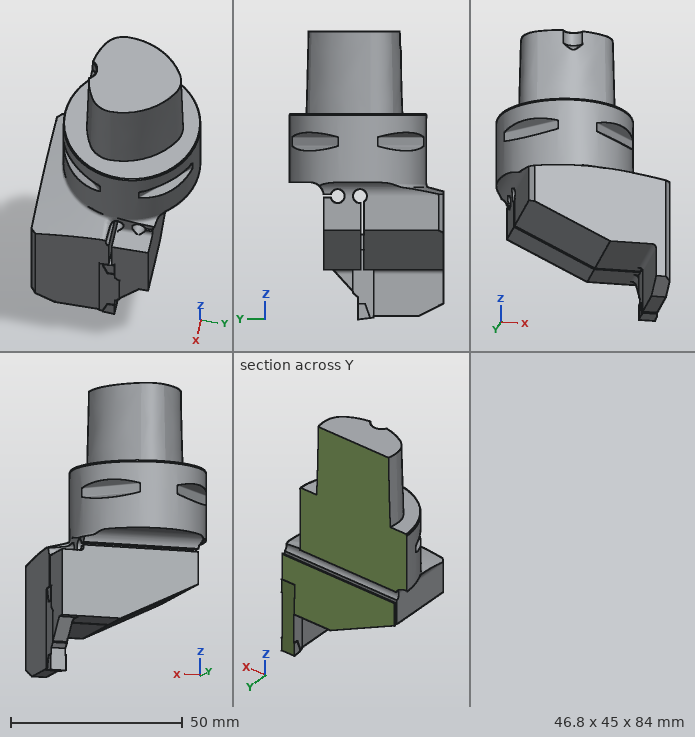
import cadquery as cq
import math


flange_radius = 20.0
flange_height = 20.0
flange_chamfer_height = 0.5
flange_chamfer_width = 0.25

groove_count = 4
groove_first_angle = 45.0
groove_center_z = -8.13
groove_floor_radius = 17.6
groove_floor_width = 2.6
groove_side_angle = 30.0
groove_floor_fillet = 0.4

shank_length = 24.0
shank_width = 28.1
lobe_reach = 15.05
shank_taper = math.degrees(math.atan(1 / 40))
lobe_angles = (90.0, 210.0, 330.0)
lobe_half_arc = 30.0
flank_half_arc = 30.0
flank_center_offset = 240.0

notch_radius = 3.2
notch_center_y = -13.8
notch_depth = 4.1
notch_mouth_chamfer = 0.25

body_left = -15.25
body_right = 26.6
body_front = -25.0
body_back = 10.0
body_bottom = -45.5
body_left_bottom = -34.0
slope_end_x = 8.6
front_chamfer = 1.5
shoulder_fillet = 4.0
shoulder_slab = 4.0

cone_angle = 15.0
collar_bottom = -20.5
collar_fillet = 1.0
cone_reach = 45.0

blade_left = 22.25
blade_bottom = -59.0
blade_corner_y = -17.7
blade_front_bottom = -55.3
blade_fillet = 1.3
jaw_root_y = 7.2
jaw_tip_z = -51.8

hinge_hole_radius = 2.0
hinge_z = -24.0
inner_hole_y = -0.6
outer_hole_y = 5.9
slit_width = 0.9
clamp_slit_y = -1.3
outer_slit_z = -23.95

pocket_wall_x = flange_radius
pocket_floor_z = hinge_z - hinge_hole_radius
pocket_side_y = -1.95
pocket_round = 2.15
pocket_wall_fillet = 1.0

tip_z = -60.0
insert_length = 25.0
insert_mid_z = tip_z + insert_length / 2
insert_bottom_y = -4.55
insert_top_y = 1.46
relief_angle = 7.0
rake_length = 6.5
rake_step_length = 1.3
head_width = 4.8
head_length = 4.6
head_foot_y = -3.4
head_shoulder_y = -2.1
head_foot_length = 1.0

overlap = 5.0
pick_margin = 0.1


def lobe_outline(plane_z):
    """Rounded triangle made of small lobe arcs and large flank arcs, all tangent."""
    corner_distance = (2 * lobe_reach - shank_width) / (2 - math.sqrt(3))
    lobe_radius = lobe_reach - corner_distance
    flank_radius = shank_width - lobe_radius

    def on_arc(center_angle, radius, normal_angle):
        center = math.radians(center_angle)
        normal = math.radians(normal_angle)
        x = corner_distance * math.cos(center) + radius * math.cos(normal)
        y = corner_distance * math.sin(center) + radius * math.sin(normal)
        return (x, y)

    start = on_arc(lobe_angles[0], lobe_radius, lobe_angles[0] - lobe_half_arc)
    outline = cq.Workplane("XY", origin=(0, 0, plane_z)).moveTo(*start)
    for angle in lobe_angles:
        flank_start = angle + lobe_half_arc
        lobe_tip = on_arc(angle, lobe_radius, angle)
        lobe_end = on_arc(angle, lobe_radius, flank_start)
        opposite = angle + flank_center_offset
        flank_middle = on_arc(opposite, flank_radius, flank_start + flank_half_arc)
        flank_end = on_arc(opposite, flank_radius, flank_start + 2 * flank_half_arc)
        outline = outline.threePointArc(lobe_tip, lobe_end)
        outline = outline.threePointArc(flank_middle, flank_end)
    return outline.close()


def make_shank():
    shank = lobe_outline(0).extrude(shank_length, taper=shank_taper)
    root = lobe_outline(-overlap).extrude(overlap)
    mouth_radius = notch_radius + notch_mouth_chamfer
    drill = (
        cq.Workplane("XZ", origin=(0, notch_center_y, shank_length))
        .polyline([
            (0, 0),
            (mouth_radius, 0),
            (notch_radius, -notch_mouth_chamfer),
            (notch_radius, -notch_depth),
            (0, -notch_depth - notch_radius),
        ])
        .close()
        .revolve(360, (0, 0), (0, 1))
    )
    return shank.cut(drill).union(root)


def make_flange():
    rim_radius = flange_radius - flange_chamfer_width
    flange = (
        cq.Workplane("XZ")
        .polyline([
            (0, 0),
            (rim_radius, 0),
            (flange_radius, -flange_chamfer_height),
            (flange_radius, -flange_height),
            (0, -flange_height),
        ])
        .close()
        .revolve(360, (0, 0), (0, 1))
    )
    outer = flange_radius + overlap
    floor_half = groove_floor_width / 2
    mouth_half = floor_half + (outer - groove_floor_radius) * math.tan(math.radians(groove_side_angle))
    groove = (
        cq.Workplane("XZ", origin=(0, 0, groove_center_z))
        .polyline([
            (groove_floor_radius, -floor_half),
            (outer, -mouth_half),
            (outer, mouth_half),
            (groove_floor_radius, floor_half),
        ])
        .close()
        .extrude(flange_radius, both=True)
        .edges("|Y and <X")
        .fillet(groove_floor_fillet)
    )
    for index in range(groove_count):
        angle = groove_first_angle + index * 360 / groove_count
        flange = flange.cut(groove.rotate((0, 0, 0), (0, 0, 1), angle))
    return flange


def cone_envelope():
    """Space below the flange rim and the filleted conical shoulder."""
    slope = math.radians(cone_angle)
    slab_top_z = -flange_height + shoulder_slab
    tangent_radius = flange_radius + collar_fillet * (1 - math.sin(slope))
    tangent_z = collar_bottom - collar_fillet * math.cos(slope)
    half_turn = (math.pi / 2 - slope) / 2
    fillet_middle = (
        flange_radius + collar_fillet * (1 - math.cos(half_turn)),
        collar_bottom - collar_fillet * math.sin(half_turn),
    )
    cone_edge_z = tangent_z - (cone_reach - tangent_radius) * math.tan(slope)
    return (
        cq.Workplane("XZ")
        .moveTo(0, slab_top_z)
        .lineTo(flange_radius, slab_top_z)
        .lineTo(flange_radius, collar_bottom)
        .threePointArc(fillet_middle, (tangent_radius, tangent_z))
        .lineTo(cone_reach, cone_edge_z)
        .lineTo(cone_reach, tip_z - overlap)
        .lineTo(0, tip_z - overlap)
        .close()
        .revolve(360, (0, 0), (0, 1))
    )


def relief_pocket():
    """Open step beside the flange, down to the top of the clamp jaw, with rounded floor edges."""
    top_z = -flange_height / 2
    pocket = cq.Workplane("XY").box(
        body_right + overlap - pocket_wall_x,
        flange_radius - pocket_side_y,
        top_z - pocket_floor_z,
        centered=False,
    ).translate((pocket_wall_x, pocket_side_y, pocket_floor_z))
    pocket = pocket.edges("<Y and <Z").fillet(pocket_round)
    return pocket.edges("|Y and <X and <Z").fillet(pocket_wall_fillet)


def make_body():
    front_profile = (
        cq.Workplane("XZ", origin=(0, body_back, 0))
        .polyline([
            (body_left, -flange_height),
            (body_left, body_left_bottom),
            (slope_end_x, body_bottom),
            (blade_left, body_bottom),
            (blade_left, blade_bottom),
            (body_right, blade_bottom),
            (body_right, -flange_height),
        ])
        .close()
        .extrude(body_back - body_front)
    )
    block = front_profile.edges(
        cq.selectors.NearestToPointSelector((blade_left, body_front / 2, body_bottom))
    ).fillet(blade_fillet)
    for corner_x in (body_left, body_right):
        corner = cq.selectors.NearestToPointSelector((corner_x, body_front, body_left_bottom))
        block = block.edges("|Z").edges(corner).chamfer(front_chamfer)

    blade_end = (
        cq.Workplane("YZ", origin=(body_left, 0, 0))
        .polyline([
            (body_front, -flange_height),
            (body_front, blade_front_bottom),
            (blade_corner_y, blade_bottom),
            (insert_bottom_y, blade_bottom),
            (insert_bottom_y, jaw_tip_z),
            (insert_top_y, jaw_tip_z),
            (jaw_root_y, body_bottom),
            (body_back, body_bottom),
            (body_back, -flange_height),
        ])
        .close()
        .extrude(body_right - body_left)
    )
    block = block.intersect(blade_end)

    slab_left = -flange_radius
    slab = cq.Workplane("XY").box(
        body_right - slab_left, flange_radius - body_front, shoulder_slab, centered=False
    ).translate((slab_left, body_front, -flange_height))
    body = block.union(slab)
    inner_edges = cq.selectors.BoxSelector(
        (body_left - pick_margin, body_front + front_chamfer, -flange_height - pick_margin),
        (body_right - pick_margin, body_back + pick_margin, -flange_height + pick_margin),
    )
    body = body.edges(inner_edges).fillet(shoulder_fillet)
    body = body.intersect(cone_envelope()).cut(relief_pocket())
    rim_middle = ((pocket_wall_x + body_right) / 2, pocket_side_y, pocket_floor_z + 2 * pocket_round)
    rim = cq.selectors.NearestToPointSelector(rim_middle)
    return body.edges(rim).fillet(pocket_round)


def clamp_slits():
    """Two hinge holes along X with the slits that free the upper jaw."""
    length = body_right - body_left + 2 * overlap
    start_x = body_left - overlap
    holes = (
        cq.Workplane("YZ", origin=(start_x, 0, 0))
        .pushPoints([(inner_hole_y, hinge_z), (outer_hole_y, hinge_z)])
        .circle(hinge_hole_radius)
        .extrude(length)
    )
    jaw_slit = cq.Workplane("XY").box(
        length, slit_width, hinge_z - body_bottom, centered=(False, True, False)
    ).translate((start_x, clamp_slit_y, body_bottom))
    back_slit = cq.Workplane("XY").box(
        length, body_back - outer_hole_y + overlap, slit_width, centered=(False, False, True)
    ).translate((start_x, outer_hole_y, outer_slit_z))
    return holes.union(jaw_slit).union(back_slit)


def make_insert():
    """Grooving insert, mirrored about its middle, with a wide cutting head at each end."""
    relief_rise = math.tan(math.radians(relief_angle))
    blade_middle_x = (blade_left + body_right) / 2
    shank_start_z = tip_z - insert_bottom_y * relief_rise
    outer_half = (
        cq.Workplane("YZ", origin=(blade_left, 0, 0))
        .polyline([
            (0, tip_z),
            (0, tip_z + rake_length),
            (insert_top_y, tip_z + rake_length + rake_step_length),
            (insert_top_y, insert_mid_z),
            (insert_bottom_y, insert_mid_z),
            (insert_bottom_y, shank_start_z),
        ])
        .close()
        .extrude(body_right - blade_left)
    )
    head = (
        cq.Workplane("YZ", origin=(blade_middle_x - head_width / 2, 0, 0))
        .polyline([
            (0, tip_z),
            (0, tip_z + head_length),
            (head_shoulder_y, tip_z + head_length),
            (head_foot_y, tip_z + head_foot_length),
            (head_foot_y, tip_z - head_foot_y * relief_rise),
        ])
        .close()
        .extrude(head_width)
    )
    outer_half = outer_half.union(head)
    return outer_half.union(outer_half.mirror("XY", (0, 0, insert_mid_z)))


def seat_relief():
    """Clears the blade's root fillet beside the insert."""
    depth = blade_fillet
    return cq.Workplane("XY").box(
        depth, insert_top_y - insert_bottom_y, depth, centered=False
    ).translate((blade_left - depth, insert_bottom_y, body_bottom - depth))


insert = make_insert()
housing = make_shank().union(make_flange()).union(make_body())
housing = housing.cut(clamp_slits()).cut(seat_relief()).cut(insert)

result = cq.Compound.makeCompound([housing.val(), insert.val()])